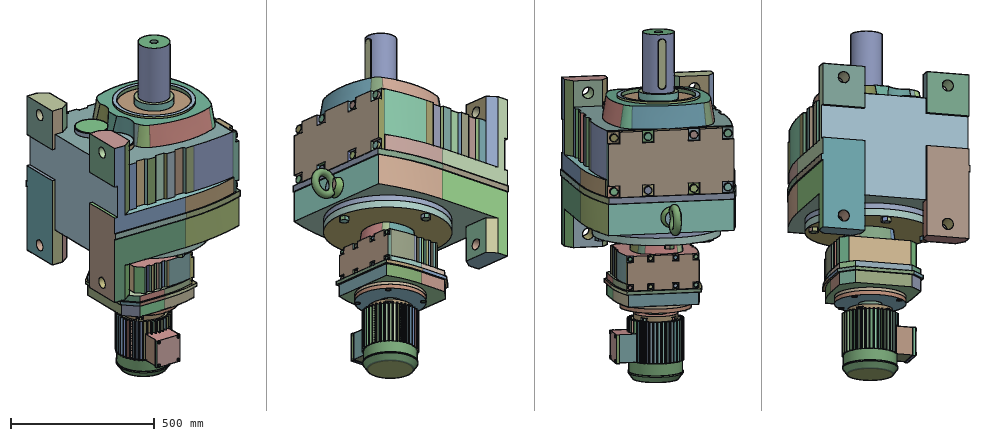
import cadquery as cq
import math


SHAFT_TOP = 1237
COLLAR_TOP = 1028.0
FOOT_TOP = 1022.0
RIM_TOP = 1015.0
BOSS_TOP = 1008.0
COVER_TOP = 948.0
HOUSING_TOP = 929.0
UPPER_PAD_BOTTOM = 873.0
FLUTE_BOTTOM = 755
SEAM_TOP = 695.0
SEAM_BOTTOM = 673.0
HOUSING_BOTTOM = 562.0
UNITS_JOINT = 542.0
ADAPTER_BOTTOM = 516.0
INPUT_HOUSING_TOP = 460.0
FOOT_BOTTOM = 430.0
INPUT_FLUTE_BOTTOM = 360.0
INPUT_SEAM_TOP = 338.0
INPUT_SEAM_BOTTOM = 325.0
INPUT_HOUSING_BOTTOM = 281.0
MOTOR_JOINT = 270.0
MOTOR_FLANGE_BOTTOM = 255.0
SHIELD_TOP = 234.0
FIN_TOP = 215.0
FIN_BOTTOM = 69.0
HOOD_RIM_TOP = 27.0
HOOD_RIM_BOTTOM = 22.0

INPUT_BOSS_Y = -32.0
MOTOR_Y = -45.0

SHAFT_RADIUS = 56.0
COLLAR_RADIUS = 69.0
KEY_WIDTH = 27.0
KEY_CREST = 60.0
KEY_BOTTOM = 1044.0
KEY_TOP = 1222.0
CENTRE_HOLE_RADIUS = 14.0
CENTRE_CONE_DEPTH = 7.0
CENTRE_HOLE_DEPTH = 12

BOSS_HALF = 192.0
BOSS_CORNER_LONG = 166.0
BOSS_CORNER_SHORT = 132.0
BOSS_DRAFT = 9.5
RIM_RADIUS = 145.0
RIM_BORE_RADIUS = 130.0
RIM_FLOOR = 1002
BEARING_COVERS = [(-64.0, -220.0, 59.0), (78.0, -224.0, 69.0)]
COVER_CHAMFER = 2.0
COVER_WEB_END = -246.0

HOUSING_HALF = 266.0
HOUSING_TIP_HALF = 224.0
HOUSING_BACK = 205.0
HOUSING_TANGENT_Y = -52.0
FLUTED_HALF = 241.0
FLUTED_BACK = 179.0
LID_DROP = 2.0
FRONT_FACE = -341.0
SEAM_LIP = 4.3
FLUTE_START_Y = -36.0
FLUTE_PITCH = 41.0
FLUTE_DEPTH = 10.0
FLUTE_RUN = 6.0
FLUTE_COUNT = 3
OUTPUT_FLANGE_RADIUS = 224.0

FOOT_FACE = -354.0
FOOT_BACK = -275.0
FOOT_INNER_X = 113.0
FOOT_CHAMFER_X = 25
FOOT_CHAMFER_Y = 35.0
FOOT_HOLE_X = 189.0
FOOT_HOLE_RADIUS = 20.0
UPPER_FOOT_HOLE_Z = 977
LOWER_FOOT_HOLE_Z = 477.0

NOTCH_SIZE = 41.0
NOTCH_DEPTH = 14.0
NOTCH_INNER_X = 82.0
NOTCH_BOLT_RADIUS = 14.0
NOTCH_BOLT_HEIGHT = 11.0

EYE_Y = 262.0
EYE_Z = 618
EYE_RING_RADIUS = 41.0
EYE_WIRE_RADIUS = 14.0
EYE_BASE_RADIUS = 37
EYE_NECK_RADIUS = 27.0
EYE_NECK_Y = 231.0

INPUT_BOSS_HALF = 92.0
INPUT_CORNER_LONG = 79.0
INPUT_CORNER_SHORT = 58.0
INPUT_BOSS_DRAFT = 8
INPUT_FLUTED_HALF = 140.0
INPUT_FLUTED_TIP_HALF = 129.0
INPUT_FLUTED_BACK = 63.0
INPUT_LID_BACK = 79.0
INPUT_FLUTED_FRONT = -165.0
INPUT_FLUTED_CHAMFER = 27.0
INPUT_FLUTED_TANGENT_Y = -33.0
INPUT_FLUTE_START_Y = -47.0
INPUT_FLUTE_PITCH = 16.0
INPUT_FLUTE_DEPTH = 6.0
INPUT_FLUTE_RUN = 6.0
INPUT_HALF = 148
INPUT_TIP_HALF = 125.0
INPUT_BACK = 83.0
INPUT_FRONT = -210
INPUT_CHAMFER = 46.0
INPUT_TANGENT_Y = -59.0
INPUT_SEAM_LIP = 7.0
INPUT_NOTCH_SIZE = 22.0
INPUT_NOTCH_DEPTH = 9.0
INPUT_NOTCH_INNER_X = 45.0
INPUT_NOTCH_BOLT_RADIUS = 7.0
INPUT_NOTCH_BOLT_HEIGHT = 6.0
ADAPTER_BOLT_CIRCLE = 202.0
ADAPTER_BOLT_WIDTH = 35.0
ADAPTER_BOLT_HEIGHT = 15.0
INPUT_FLANGE_RADIUS = 125.0

FLANGE_BOLT_CIRCLE = 115.0
FLANGE_BOLT_WIDTH = 21.0
FLANGE_BOLT_HEIGHT = 2.0
NECK_RADIUS = 41.0
SHIELD_RADIUS = 78.0
SHIELD_BOLT_CIRCLE = 70.0
SHIELD_POCKET_RADIUS = 14.0
SHIELD_POCKET_HEIGHT = 11.0
SHIELD_BOLT_WIDTH = 15.0
SHIELD_BOLT_HEIGHT = 10.0
FIN_COUNT = 40
FIN_RADIUS = 99
FIN_ROOT_RADIUS = 87
FIN_THICKNESS = 4.0
HOOD_RADIUS = 94.0
HOOD_RIM_RADIUS = 96.0
HOOD_END_RADIUS = 80.0
HOOD_END_FILLET = 4.0
BOX_INNER_X = 78.0
BOX_OUTER_X = 140.0
BOX_LID_X = 151.0
BOX_HALF_WIDTH = 47.0
BOX_TOP = 170.0
BOX_LID_LIP = 2.0
BOX_SCREW_RADIUS = 5.0
BOX_SCREW_HEIGHT = 4.0
BOX_SCREW_INSET = 6.0


def level(z, y=0):
    """Horizontal workplane at height z whose origin lies at the given y."""
    return cq.Workplane("XY", origin=(0, y, z))


def disc(radius, bottom, top, y=0, x=0):
    return level(bottom, y).center(x, 0).circle(radius).extrude(top - bottom)


def block(x0, x1, y0, y1, z0, z1):
    return cq.Workplane("XY").box(x1 - x0, y1 - y0, z1 - z0, centered=False).translate((x0, y0, z0))


def cone(base_radius, end_radius, length, base_centre, direction):
    return cq.Workplane(
        cq.Solid.makeCone(
            base_radius, end_radius, length, cq.Vector(*base_centre), cq.Vector(*direction)
        )
    )


def side_arc_middle(half, tip_half, tangent_y, back):
    """Halfway point of the arc that leaves (half, tangent_y) along Y and ends at (tip_half, back)."""
    inset = half - tip_half
    length = back - tangent_y
    radius = (inset ** 2 + length ** 2) / (2 * inset)
    turn = math.asin(length / radius) / 2
    return half - radius * (1 - math.cos(turn)), tangent_y + radius * math.sin(turn)


def housing_prism(half, tip_half, back, front, tangent_y, bottom, top, front_chamfer=0):
    """Housing whose sides run straight back from the front, then curve in to a flat back."""
    mid_x, mid_y = side_arc_middle(half, tip_half, tangent_y, back)
    front_x = half - front_chamfer
    outline = level(bottom).moveTo(front_x, front)
    if front_chamfer:
        outline = outline.lineTo(half, front + front_chamfer)
    outline = (
        outline.lineTo(half, tangent_y)
        .threePointArc((mid_x, mid_y), (tip_half, back))
        .lineTo(-tip_half, back)
        .threePointArc((-mid_x, mid_y), (-half, tangent_y))
    )
    if front_chamfer:
        outline = outline.lineTo(-half, front + front_chamfer)
    return outline.lineTo(-front_x, front).close().extrude(top - bottom)


def side_flutes(half, start_y, pitch, depth, run, bottom, top):
    """Vertical trapezoidal grooves along both sides of a housing."""
    flutes = cq.Workplane("XY")
    for side in (-1, 1):
        for index in range(FLUTE_COUNT):
            near = start_y - 2 * index * pitch
            far = near - pitch
            points = [
                (side * half, near + run / 2),
                (side * (half - depth), near - run / 2),
                (side * (half - depth), far + run / 2),
                (side * half, far - run / 2),
            ]
            flutes = flutes.add(level(bottom).polyline(points).close().extrude(top - bottom))
    return flutes.combine()


def drafted_boss(half, corner_long, corner_short, draft, bottom, top, y=0):
    """Tapered boss with four bulging sides joined by rounded corners."""
    side_turn = 2 * math.atan((half - corner_long) / corner_short)
    corner_turn = math.pi / 2 - 2 * side_turn
    corner_rise = (corner_long - corner_short) / 2 * math.tan(corner_turn / 4)
    corner_middle = (corner_long + corner_short) / 2 + corner_rise
    long, short, middle = corner_long, corner_short, corner_middle
    outline = (
        level(bottom, y)
        .moveTo(long, -short)
        .threePointArc((half, 0), (long, short))
        .threePointArc((middle, middle), (short, long))
        .threePointArc((0, half), (-short, long))
        .threePointArc((-middle, middle), (-long, short))
        .threePointArc((-half, 0), (-long, -short))
        .threePointArc((-middle, -middle), (-short, -long))
        .threePointArc((0, -half), (short, -long))
        .threePointArc((middle, -middle), (long, -short))
    )
    return outline.close().extrude(top - bottom, taper=draft)


def bolted_lid(half, inner, back, lid_back, bottom, top, notch, depth, bolt_radius, bolt_height):
    """Flat lid on a housing's back, with eight bolt heads sunk in notches along its two edges."""
    lid = block(-half, half, back, lid_back, bottom, top)
    outer = half - notch / 2
    floor = lid_back - depth
    places = [
        (x, z)
        for x in (-outer, -inner, inner, outer)
        for z in (bottom + notch / 2, top - notch / 2)
    ]
    floor_plane = cq.Workplane("XZ", origin=(0, floor, 0)).pushPoints(places)
    notches = floor_plane.rect(notch, notch).extrude(-depth)
    heads = floor_plane.circle(bolt_radius).extrude(-bolt_height)
    return lid.cut(notches).union(heads)


def hex_heads(circle_radius, width, bottom, top, y, start_angle):
    """Four hexagonal bolt heads evenly spaced round a circle."""
    return (
        level(bottom, y)
        .polarArray(circle_radius, start_angle, 360, 4)
        .polygon(6, width)
        .extrude(top - bottom)
    )


def output_shaft():
    shaft = disc(COLLAR_RADIUS, RIM_FLOOR, COLLAR_TOP).union(disc(SHAFT_RADIUS, COLLAR_TOP, SHAFT_TOP))
    key = (
        cq.Workplane("XZ")
        .center(0, (KEY_BOTTOM + KEY_TOP) / 2)
        .slot2D(KEY_TOP - KEY_BOTTOM, KEY_WIDTH, 90)
        .extrude(-KEY_CREST)
    )
    floor = SHAFT_TOP - CENTRE_HOLE_DEPTH
    centre_hole = disc(CENTRE_HOLE_RADIUS, floor, SHAFT_TOP)
    hole_tip = cone(CENTRE_HOLE_RADIUS, 0, CENTRE_CONE_DEPTH, (0, 0, floor), (0, 0, -1))
    return shaft.union(key).cut(centre_hole).cut(hole_tip)


def output_boss():
    boss = drafted_boss(
        BOSS_HALF, BOSS_CORNER_LONG, BOSS_CORNER_SHORT, BOSS_DRAFT, HOUSING_TOP, BOSS_TOP
    )
    boss = boss.union(disc(RIM_RADIUS, BOSS_TOP, RIM_TOP))
    boss = boss.cut(disc(RIM_BORE_RADIUS, RIM_FLOOR, RIM_TOP))
    for x, y, radius in BEARING_COVERS:
        boss = boss.cut(disc(radius, HOUSING_TOP, BOSS_TOP, y, x))
        cover = disc(radius, HOUSING_TOP, COVER_TOP, y, x).faces(">Z").edges().chamfer(COVER_CHAMFER)
        boss = boss.union(cover)
    left_x, right_x = (cover[0] for cover in BEARING_COVERS)
    cover_y = BEARING_COVERS[0][1]
    web = block(left_x, right_x, COVER_WEB_END, cover_y, HOUSING_TOP, COVER_TOP - COVER_CHAMFER)
    return boss.union(web)


def foot(side):
    """Foot bar running the full mounting length on one side of the output housing."""
    outer = side * HOUSING_HALF
    inner = side * FOOT_INNER_X
    shoulder = FOOT_BACK - FOOT_CHAMFER_Y
    points = [
        (outer, FOOT_FACE),
        (outer, shoulder),
        (outer - side * FOOT_CHAMFER_X, FOOT_BACK),
        (inner + side * FOOT_CHAMFER_X, FOOT_BACK),
        (inner, shoulder),
        (inner, FOOT_FACE),
    ]
    return level(FOOT_BOTTOM).polyline(points).close().extrude(FOOT_TOP - FOOT_BOTTOM)


def foot_holes():
    places = [
        (x, z) for x in (-FOOT_HOLE_X, FOOT_HOLE_X) for z in (LOWER_FOOT_HOLE_Z, UPPER_FOOT_HOLE_Z)
    ]
    return (
        cq.Workplane("XZ", origin=(0, FOOT_BACK, 0))
        .pushPoints(places)
        .circle(FOOT_HOLE_RADIUS)
        .extrude(FOOT_BACK - FOOT_FACE)
    )


def lifting_eye():
    ring = cq.Workplane(
        cq.Solid.makeTorus(
            EYE_RING_RADIUS, EYE_WIRE_RADIUS, cq.Vector(0, EYE_Y, EYE_Z), cq.Vector(1, 0, 0)
        )
    )
    base = cone(
        EYE_BASE_RADIUS, EYE_NECK_RADIUS, EYE_NECK_Y - HOUSING_BACK, (0, HOUSING_BACK, EYE_Z), (0, 1, 0)
    )
    return ring.union(base)


def output_gear_unit():
    body = housing_prism(
        HOUSING_HALF, HOUSING_TIP_HALF, HOUSING_BACK, FRONT_FACE, HOUSING_TANGENT_Y,
        HOUSING_BOTTOM, SEAM_TOP,
    )
    body = body.union(
        housing_prism(
            HOUSING_HALF, HOUSING_TIP_HALF + SEAM_LIP, FLUTED_BACK, FRONT_FACE, HOUSING_TANGENT_Y,
            SEAM_TOP, FLUTE_BOTTOM,
        )
    )
    fluted = housing_prism(
        FLUTED_HALF, HOUSING_TIP_HALF, FLUTED_BACK, FRONT_FACE, 0, FLUTE_BOTTOM, HOUSING_TOP
    )
    fluted = fluted.cut(
        side_flutes(
            FLUTED_HALF, FLUTE_START_Y, FLUTE_PITCH, FLUTE_DEPTH, FLUTE_RUN, FLUTE_BOTTOM, HOUSING_TOP
        )
    )
    seam = housing_prism(
        HOUSING_HALF + SEAM_LIP, HOUSING_TIP_HALF, HOUSING_BACK + SEAM_LIP, FOOT_FACE,
        HOUSING_TANGENT_Y, SEAM_BOTTOM, SEAM_TOP,
    )
    lid = bolted_lid(
        HOUSING_TIP_HALF, NOTCH_INNER_X, FLUTED_BACK, HOUSING_BACK, SEAM_TOP, HOUSING_TOP - LID_DROP,
        NOTCH_SIZE, NOTCH_DEPTH, NOTCH_BOLT_RADIUS, NOTCH_BOLT_HEIGHT,
    )
    body = body.union(fluted).union(seam).union(lid).union(foot(-1)).union(foot(1))
    body = body.cut(block(-FOOT_INNER_X, FOOT_INNER_X, FOOT_FACE, FRONT_FACE, FOOT_BOTTOM, FOOT_TOP))
    body = body.cut(
        block(-HOUSING_HALF, HOUSING_HALF, FOOT_FACE, FRONT_FACE, FLUTE_BOTTOM, UPPER_PAD_BOTTOM)
    )
    body = body.cut(foot_holes())
    body = body.union(output_boss()).union(output_shaft()).union(lifting_eye())
    return body.union(disc(OUTPUT_FLANGE_RADIUS, UNITS_JOINT, HOUSING_BOTTOM, INPUT_BOSS_Y))


def input_gear_unit():
    adapter = disc(OUTPUT_FLANGE_RADIUS, ADAPTER_BOTTOM, UNITS_JOINT, INPUT_BOSS_Y)
    bolts = hex_heads(
        ADAPTER_BOLT_CIRCLE, ADAPTER_BOLT_WIDTH, ADAPTER_BOTTOM - ADAPTER_BOLT_HEIGHT, ADAPTER_BOTTOM,
        INPUT_BOSS_Y, 0,
    )
    boss = drafted_boss(
        INPUT_BOSS_HALF, INPUT_CORNER_LONG, INPUT_CORNER_SHORT, INPUT_BOSS_DRAFT,
        INPUT_HOUSING_TOP, ADAPTER_BOTTOM, INPUT_BOSS_Y,
    )
    fluted = housing_prism(
        INPUT_FLUTED_HALF, INPUT_FLUTED_TIP_HALF, INPUT_FLUTED_BACK, INPUT_FLUTED_FRONT,
        INPUT_FLUTED_TANGENT_Y, INPUT_FLUTE_BOTTOM, INPUT_HOUSING_TOP, INPUT_FLUTED_CHAMFER,
    )
    fluted = fluted.cut(
        side_flutes(
            INPUT_FLUTED_HALF, INPUT_FLUTE_START_Y, INPUT_FLUTE_PITCH, INPUT_FLUTE_DEPTH,
            INPUT_FLUTE_RUN, INPUT_FLUTE_BOTTOM, INPUT_HOUSING_TOP,
        )
    )
    upper = housing_prism(
        INPUT_HALF, INPUT_FLUTED_TIP_HALF, INPUT_FLUTED_BACK, INPUT_FRONT, INPUT_TANGENT_Y,
        INPUT_SEAM_TOP, INPUT_FLUTE_BOTTOM, INPUT_CHAMFER,
    )
    lower = housing_prism(
        INPUT_HALF, INPUT_TIP_HALF, INPUT_BACK, INPUT_FRONT, INPUT_TANGENT_Y,
        INPUT_HOUSING_BOTTOM, INPUT_SEAM_TOP, INPUT_CHAMFER,
    )
    seam = housing_prism(
        INPUT_HALF + INPUT_SEAM_LIP, INPUT_TIP_HALF + INPUT_SEAM_LIP, INPUT_BACK + INPUT_SEAM_LIP,
        INPUT_FRONT - INPUT_SEAM_LIP, INPUT_TANGENT_Y, INPUT_SEAM_BOTTOM, INPUT_SEAM_TOP,
        INPUT_CHAMFER + INPUT_SEAM_LIP / 2,
    )
    lid = bolted_lid(
        INPUT_FLUTED_TIP_HALF, INPUT_NOTCH_INNER_X, INPUT_FLUTED_BACK, INPUT_LID_BACK,
        INPUT_SEAM_TOP, INPUT_HOUSING_TOP, INPUT_NOTCH_SIZE, INPUT_NOTCH_DEPTH,
        INPUT_NOTCH_BOLT_RADIUS, INPUT_NOTCH_BOLT_HEIGHT,
    )
    flange = disc(INPUT_FLANGE_RADIUS, MOTOR_JOINT, INPUT_HOUSING_BOTTOM, MOTOR_Y)
    body = adapter.union(bolts).union(boss).union(fluted).union(upper).union(lower)
    return body.union(seam).union(lid).union(flange)


def finned_frame():
    """Round frame with radial fins, cut flat on the +X side where the terminal box sits."""
    fin_corners = [(FIN_ROOT_RADIUS, -1), (FIN_RADIUS, -1), (FIN_RADIUS, 1), (FIN_ROOT_RADIUS, 1)]
    points = []
    for index in range(FIN_COUNT):
        angle = 2 * math.pi * index / FIN_COUNT
        for radius, side in fin_corners:
            turn = angle + side * math.asin(FIN_THICKNESS / 2 / radius)
            points.append((radius * math.cos(turn), radius * math.sin(turn)))
    frame = level(FIN_BOTTOM, MOTOR_Y).polyline(points).close().extrude(FIN_TOP - FIN_BOTTOM)
    box_seat = block(
        BOX_INNER_X, FIN_RADIUS, MOTOR_Y - FIN_RADIUS, MOTOR_Y + FIN_RADIUS, FIN_BOTTOM, BOX_TOP
    )
    return frame.cut(box_seat)


def motor_hood():
    hood = disc(HOOD_RADIUS, HOOD_RIM_TOP, FIN_BOTTOM, MOTOR_Y)
    rim_profile = [
        (0, 0),
        (HOOD_END_RADIUS, 0),
        (HOOD_RIM_RADIUS, HOOD_RIM_BOTTOM),
        (HOOD_RIM_RADIUS, HOOD_RIM_TOP),
        (0, HOOD_RIM_TOP),
    ]
    rim = (
        cq.Workplane("XZ", origin=(0, MOTOR_Y, 0))
        .polyline(rim_profile)
        .close()
        .revolve(360, (0, 0, 0), (0, 1, 0))
        .faces("<Z")
        .edges()
        .fillet(HOOD_END_FILLET)
    )
    return hood.union(rim)


def terminal_box():
    y0 = MOTOR_Y - BOX_HALF_WIDTH
    y1 = MOTOR_Y + BOX_HALF_WIDTH
    box = block(BOX_INNER_X, BOX_OUTER_X, y0, y1, FIN_BOTTOM, BOX_TOP)
    lid = block(
        BOX_OUTER_X, BOX_LID_X, y0 - BOX_LID_LIP, y1 + BOX_LID_LIP,
        FIN_BOTTOM - BOX_LID_LIP, BOX_TOP,
    )
    screw_places = [
        (y, z)
        for y in (y0 + BOX_SCREW_INSET, y1 - BOX_SCREW_INSET)
        for z in (FIN_BOTTOM + BOX_SCREW_INSET, BOX_TOP - BOX_SCREW_INSET)
    ]
    screws = (
        cq.Workplane("YZ", origin=(BOX_LID_X, 0, 0))
        .pushPoints(screw_places)
        .circle(BOX_SCREW_RADIUS)
        .extrude(BOX_SCREW_HEIGHT)
    )
    return box.union(lid).union(screws)


def motor():
    body = disc(INPUT_FLANGE_RADIUS, MOTOR_FLANGE_BOTTOM, MOTOR_JOINT, MOTOR_Y)
    body = body.union(
        hex_heads(
            FLANGE_BOLT_CIRCLE, FLANGE_BOLT_WIDTH, MOTOR_FLANGE_BOTTOM - FLANGE_BOLT_HEIGHT,
            MOTOR_FLANGE_BOTTOM, MOTOR_Y, 45,
        )
    )
    body = body.union(disc(NECK_RADIUS, SHIELD_TOP, MOTOR_FLANGE_BOTTOM, MOTOR_Y))
    pockets = (
        level(FIN_TOP, MOTOR_Y)
        .polarArray(SHIELD_BOLT_CIRCLE, 45, 360, 4)
        .circle(SHIELD_POCKET_RADIUS)
        .extrude(SHIELD_POCKET_HEIGHT)
    )
    body = body.union(disc(SHIELD_RADIUS, FIN_TOP, SHIELD_TOP, MOTOR_Y).cut(pockets))
    body = body.union(
        hex_heads(
            SHIELD_BOLT_CIRCLE, SHIELD_BOLT_WIDTH, FIN_TOP, FIN_TOP + SHIELD_BOLT_HEIGHT, MOTOR_Y, 45
        )
    )
    return body.union(finned_frame()).union(motor_hood()).union(terminal_box())


result = cq.Compound.makeCompound(
    [output_gear_unit().val(), input_gear_unit().val(), motor().val()]
)